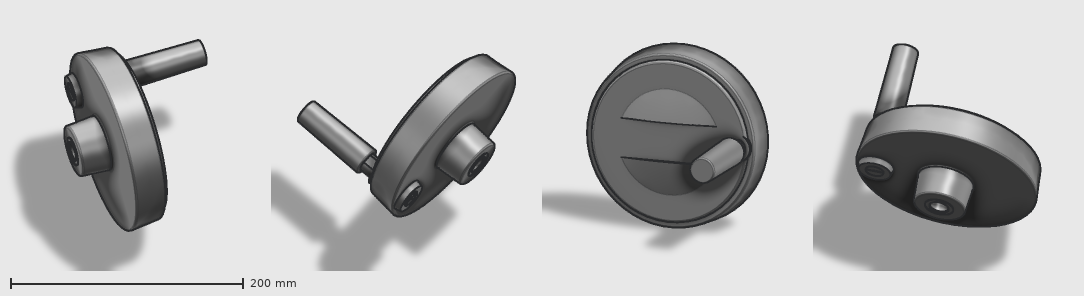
import cadquery as cq
import math

rim_radius = 80.0
rim_back_radius = 77.1
rim_depth = 28.5
rim_rounding = 1.6

ring_radius = 71.8
ring_back = 32.4
ring_rounding = 2.4
crown_height = 4.0
crown_sphere_radius = 279.3
crown_slot_width = 34.8

hub_root_radius = 24.6
hub_tip_radius = 22.7
hub_length = 27.3
hub_tip_rounding = 1.6
hub_root_rounding = 1.6
bushing_diameter = 25.0
bushing_end = 28.0
bore_diameter = 16.0
bore_mouth_diameter = 17.5
bore_depth = 32.0

handle_offset = 62.0
seat_diameter = 25.0
shank_diameter = 17.5
shank_flats = 15.3
shank_chamfer = 0.8
grip_start = 45.3
grip_end = 116.0
grip_start_diameter = 25.0
grip_end_diameter = 22.5
grip_rounding = 1.1

cap_root_radius = 15.6
cap_tip_radius = 14.0
cap_height = 5.7
screw_diameter = 16.0
screw_recess = 0.3
screw_slot_width = 1.0
screw_slot_depth = 1.3


def cylinder(diameter, y_start, y_end, x=0):
    """Cylinder along Y between two stations."""
    plane = cq.Workplane("XZ", origin=(x, y_start, 0))
    return plane.circle(diameter / 2).extrude(y_start - y_end)


def cone(start_radius, end_radius, y_start, y_end, x=0):
    """Truncated cone about an axis parallel to Y."""
    return (
        cq.Workplane("XY", origin=(x, 0, 0))
        .moveTo(0, y_start)
        .lineTo(start_radius, y_start)
        .lineTo(end_radius, y_end)
        .lineTo(0, y_end)
        .close()
        .revolve(360, (0, 0, 0), (0, 1, 0))
    )


def make_wheel():
    rim = cone(rim_radius, rim_back_radius, 0, rim_depth).edges().fillet(rim_rounding)
    ring = cylinder(2 * ring_radius, 0, ring_back).faces(">Y").edges().fillet(ring_rounding)
    return rim.union(ring)


def make_crown():
    cap_radius = math.sqrt(crown_height * (2 * crown_sphere_radius - crown_height))
    sphere_center = ring_back + crown_height - crown_sphere_radius
    sphere = cq.Workplane("XY", origin=(0, sphere_center, 0)).sphere(crown_sphere_radius)
    crown = cylinder(2 * cap_radius, rim_depth, ring_back + crown_height).intersect(sphere)
    slot = (
        cq.Workplane("XY", origin=(0, ring_back, 0))
        .box(2 * cap_radius, crown_height, crown_slot_width, centered=(True, False, True))
    )
    return crown.cut(slot)


def make_hub():
    hub = cone(hub_root_radius, hub_tip_radius, 0, -hub_length)
    hub = hub.faces("<Y").edges().fillet(hub_tip_rounding)
    flare_radius = hub_root_radius + hub_root_rounding
    arc_inset = hub_root_rounding * (1 - math.sqrt(0.5))
    flare = (
        cq.Workplane("XY")
        .lineTo(flare_radius, 0)
        .threePointArc(
            (hub_root_radius + arc_inset, -arc_inset),
            (hub_root_radius, -hub_root_rounding),
        )
        .lineTo(0, -hub_root_rounding)
        .close()
        .revolve(360, (0, 0, 0), (0, 1, 0))
    )
    bushing = cylinder(bushing_diameter, 0, -bushing_end)
    return hub.union(flare).union(bushing)


def make_bore():
    mouth_radius = bore_mouth_diameter / 2
    bore_radius = bore_diameter / 2
    chamfer_end = mouth_radius - bore_radius - bushing_end
    bore = cylinder(bore_diameter, -bushing_end, bore_depth - bushing_end)
    return bore.union(cone(mouth_radius, bore_radius, -bushing_end, chamfer_end))


def make_handle():
    seat = cylinder(seat_diameter, rim_depth / 2, ring_back, -handle_offset)
    shank = cylinder(shank_diameter, ring_back, grip_start, -handle_offset)
    shank = shank.faces("<Y").chamfer(shank_chamfer)
    flats = (
        cq.Workplane("XY", origin=(-handle_offset, ring_back, 0))
        .box(shank_diameter, 2 * (grip_start - ring_back), shank_flats)
    )
    grip = cone(
        grip_start_diameter / 2, grip_end_diameter / 2, grip_start, grip_end, -handle_offset
    )
    grip = grip.edges("%CIRCLE").fillet(grip_rounding)
    return seat.union(shank.intersect(flats)).union(grip)


def make_cap():
    cap = cone(cap_root_radius, cap_tip_radius, 0, -cap_height, -handle_offset)
    head_level = screw_recess - cap_height
    recess = cylinder(screw_diameter, -cap_height, head_level, -handle_offset)
    slot = (
        cq.Workplane("XY", origin=(-handle_offset, head_level, 0))
        .box(screw_diameter, 2 * screw_slot_depth, screw_slot_width)
    )
    slot = slot.intersect(cylinder(screw_diameter, -cap_height, 0, -handle_offset))
    return cap.cut(recess).cut(slot)


result = (
    make_wheel()
    .union(make_crown())
    .union(make_hub())
    .union(make_handle())
    .union(make_cap())
    .cut(make_bore())
)